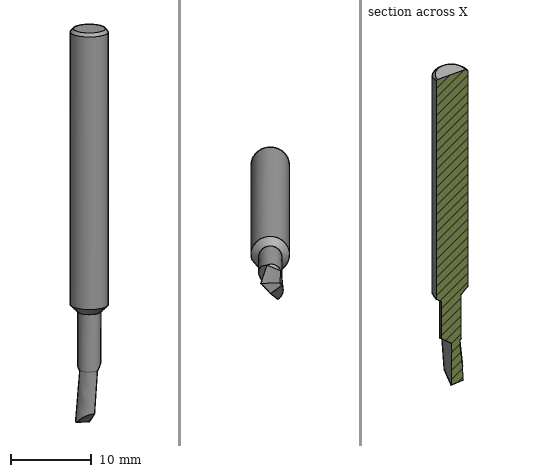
import cadquery as cq
import math

total_length = 50.8
shank_radius = 2.4
flat_offset = 2.15
top_chamfer = 0.4

neck_diameter = 2.9
neck_radius = neck_diameter / 2
neck_top = 14.35
cone_height = shank_radius - neck_radius
head_top = 6.95
shoulder_angle = 46.0
rake_turn = 25.0

keel_top_angle = -76.0
tip_x = -1.8
tip_right_x = 1.7
keel_x = -0.2
keel_y = -1.8
heel_x = 1.1
heel_y = -1.2
bevel_start_x = 0.05
bevel_height = 1.65
end_rise_x = 0.1
end_rise_y = 0.15
margin = 5.1


def neck_point(angle):
    """Point on the neck circle at an angle in degrees from +X."""
    turn = math.radians(angle)
    return neck_radius * math.cos(turn), neck_radius * math.sin(turn)


def make_shank():
    """Round shank with an end chamfer, a lower cone and a flat on +Y."""
    shank_bottom = neck_top + cone_height
    profile = (
        cq.Workplane("XZ")
        .moveTo(0, neck_top)
        .lineTo(neck_radius, neck_top)
        .lineTo(shank_radius, shank_bottom)
        .lineTo(shank_radius, total_length - top_chamfer)
        .lineTo(shank_radius - top_chamfer, total_length)
        .lineTo(0, total_length)
        .close()
    )
    shank = profile.revolve(360, (0, 0, 0), (0, 1, 0))
    beyond_flat = (
        cq.Workplane("XY")
        .box(2 * margin, margin, total_length, centered=(True, False, False))
        .translate((0, flat_offset, 0))
    )
    return shank.cut(beyond_flat)


def shoulder_wedge(start, turn):
    """Cutter below a sloped plane that starts at a distance from the axis, turned about Z."""
    rise = margin * math.tan(math.radians(shoulder_angle))
    return (
        cq.Workplane("YZ")
        .polyline([(start, head_top), (start + margin, head_top), (start + margin, head_top + rise)])
        .close()
        .extrude(margin, both=True)
        .rotate((0, 0, 0), (0, 0, 1), turn)
    )


def make_neck():
    """Round neck whose lower end slopes up from the rake face and from the flat flank."""
    neck = cq.Workplane("XY").workplane(offset=head_top).circle(neck_radius).extrude(neck_top - head_top)
    cutting_edge_angle = rake_turn - 180
    flank_direction = (cutting_edge_angle + keel_top_angle) / 2
    flank_half_angle = (keel_top_angle - cutting_edge_angle) / 2
    flank_distance = neck_radius * math.cos(math.radians(flank_half_angle))
    rake_shoulder = shoulder_wedge(0, rake_turn)
    flank_shoulder = shoulder_wedge(flank_distance, flank_direction - 90)
    return neck.cut(rake_shoulder).cut(flank_shoulder)


def make_head():
    """Twisted cutting head between the neck and the tip, with end clearance and a bevel."""
    heel_angle = (keel_top_angle + rake_turn) / 2
    head = (
        cq.Workplane("XY")
        .moveTo(tip_x, 0)
        .lineTo(keel_x, keel_y)
        .threePointArc((heel_x, heel_y), (tip_right_x, 0))
        .close()
        .workplane(offset=head_top)
        .moveTo(*neck_point(rake_turn - 180))
        .lineTo(*neck_point(keel_top_angle))
        .threePointArc(neck_point(heel_angle), neck_point(rake_turn))
        .close()
        .loft(ruled=True)
    )

    slope_x = end_rise_x / (bevel_start_x - tip_x)
    slope_y = end_rise_y / keel_y
    end_plane = cq.Plane(origin=(tip_x, 0, 0), normal=(slope_x, slope_y, -1))
    below_end = cq.Workplane(end_plane).rect(2 * margin, 2 * margin).extrude(margin)

    bevel_slope = (bevel_height - end_rise_x) / (tip_right_x - bevel_start_x)
    below_bevel = (
        cq.Workplane("XZ")
        .moveTo(bevel_start_x - margin, end_rise_x - margin * bevel_slope)
        .lineTo(bevel_start_x + margin, end_rise_x + margin * bevel_slope)
        .lineTo(bevel_start_x + margin, end_rise_x - margin * bevel_slope)
        .close()
        .extrude(margin, both=True)
    )
    return head.cut(below_end).cut(below_bevel)


result = make_shank().union(make_neck()).union(make_head())